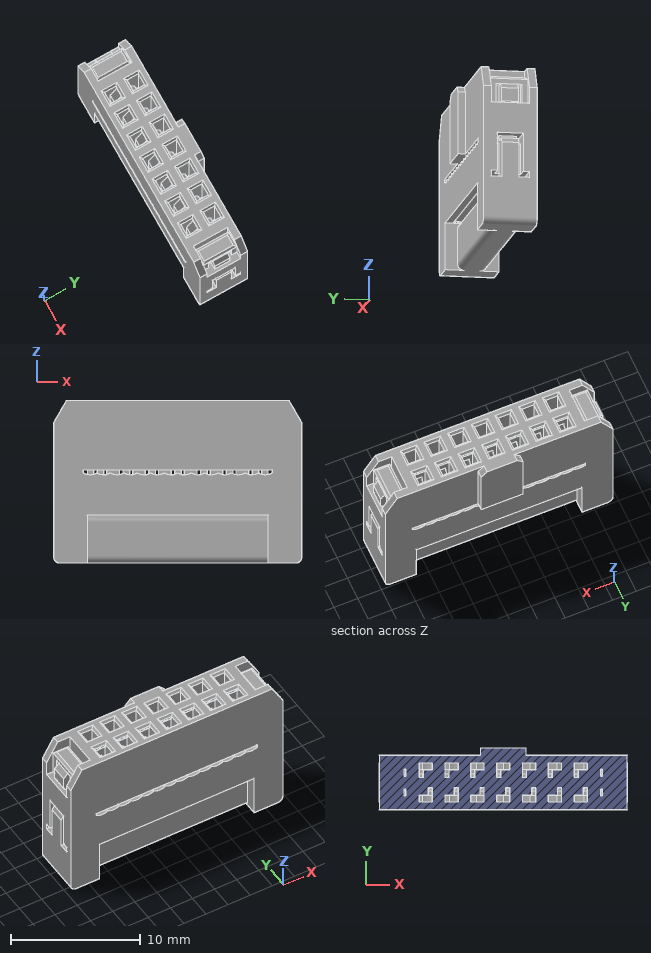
import cadquery as cq

LENGTH = 19.2
DEPTH = 4.22
HEIGHT = 12.6
HALF_LENGTH = LENGTH / 2
HALF_DEPTH = DEPTH / 2

TOP_CORNER_WIDTH = 1.0
TOP_CORNER_HEIGHT = 1.73
BOTTOM_CORNER_RADIUS = 0.5

KEY_WIDTH = 3.53
KEY_DEPTH = 0.58
KEY_BOTTOM = 7.2
KEY_CHAMFER = 0.5

COLUMNS = 7
PITCH = 2.0
CAVITY_SIZE = 1.0
LEAD_IN = 0.2
CAVITY_MOUTH = CAVITY_SIZE + 2 * LEAD_IN
ROW_Y = PITCH / 2
CAVITY_INNER_Y = ROW_Y - CAVITY_SIZE / 2
UNDERCUT_DEPTH = 0.1
UNDERCUT_TOP = 12.17

SPRING_OUTER_X = 0.21
SPRING_BOTTOM = 8.06
SPRING_LOW_EDGE = 10.18
SPRING_HIGH_EDGE = 11.33

SLOT_WIDTH = 14.6
SLOT_TOP = 7.2
SCALLOP_CUSP = 6.99
SCALLOP_FLOOR = 6.84
SCALLOP_PITCH = SLOT_WIDTH / (2 * COLUMNS)
BLADE_LEFT = -0.25
BLADE_RIGHT = 0.29

RELIEF_WIDTH = 13.98
RELIEF_TOP = 3.72
RELIEF_INSET = 0.96
RELIEF_RADIUS = 0.52
GAP_TOP = 4.19

LATCH_WIDTH = 3.0
WINDOW_WIDTH = 2.04
TONGUE_WIDTH = 1.35
POCKET_FLOOR = 9.6
POCKET_LENGTH = 2.11
BLOCK_OUTSET = 0.6
BLOCK_LENGTH = 1.35
BLOCK_TOP = 11.79
BLOCK_CHAMFER = 0.21
BLOCK_CHAMFER_HEIGHT = 0.17
WINDOW_TOP = 11.21
WINDOW_DEPTH = 0.58
SLIT_LENGTH = 0.12
SLIT_WIDTH = 0.52
HOOK_OUTSET = 0.23
HOOK_RAMP_BOTTOM = 10.8
HOOK_UNDERCUT = 0.15

LEG_DEPTH = 1.15
LEG_RAMP_BOTTOM = 6.45
LEG_RAMP_TOP = 6.82
LEG_RAMP_INSET = 0.2
GROOVE_FLOOR = 6.6


def box(x0, x1, y0, y1, z0, z1):
    """Box given by its limits along each axis."""
    return cq.Workplane("XY").box(x1 - x0, y1 - y0, z1 - z0, centered=False).translate((x0, y0, z0))


def both_ends(left_shape):
    """The left-end shape together with its mirror image at the right end."""
    return left_shape.union(left_shape.mirror("YZ"))


def extrude_across(points, width):
    """Extrude an X-Z outline along Y, centred on Y = 0."""
    return cq.Workplane("XZ").polyline(points).close().extrude(width / 2, both=True)


def frustum(length, width, bottom, height, inset):
    """Block that narrows by inset on every side from bottom to top."""
    return (
        cq.Workplane("XY", origin=(0, 0, bottom))
        .rect(length, width)
        .workplane(offset=height)
        .rect(length - 2 * inset, width - 2 * inset)
        .loft(ruled=True)
    )


def make_housing():
    shoulder = HEIGHT - TOP_CORNER_HEIGHT
    top_half = HALF_LENGTH - TOP_CORNER_WIDTH
    outline = [
        (-HALF_LENGTH, 0),
        (HALF_LENGTH, 0),
        (HALF_LENGTH, shoulder),
        (top_half, HEIGHT),
        (-top_half, HEIGHT),
        (-HALF_LENGTH, shoulder),
    ]
    housing = extrude_across(outline, DEPTH)
    return housing.edges("|Y and <Z").fillet(BOTTOM_CORNER_RADIUS)


def make_key():
    key = box(-KEY_WIDTH / 2, KEY_WIDTH / 2, HALF_DEPTH, HALF_DEPTH + KEY_DEPTH, KEY_BOTTOM, HEIGHT)
    return key.edges("|Y and >Z").chamfer(KEY_CHAMFER)


def make_cable_slot():
    """Slot through the full depth with one scallop in its floor per cable wire."""
    outline = (
        cq.Workplane("XZ")
        .moveTo(-SLOT_WIDTH / 2, SLOT_TOP)
        .lineTo(-SLOT_WIDTH / 2, SCALLOP_CUSP)
    )
    for wire in range(2 * COLUMNS):
        start = -SLOT_WIDTH / 2 + wire * SCALLOP_PITCH
        outline = outline.threePointArc(
            (start + SCALLOP_PITCH / 2, SCALLOP_FLOOR),
            (start + SCALLOP_PITCH, SCALLOP_CUSP),
        )
    return outline.lineTo(SLOT_WIDTH / 2, SLOT_TOP).close().extrude(HALF_DEPTH, both=True)


def make_slot_posts(column_x):
    """Posts at the column borders and the blade at its middle, standing in the cable slot."""
    half_cavity = CAVITY_SIZE / 2
    spans = [(-PITCH / 2, -half_cavity), (BLADE_LEFT, BLADE_RIGHT), (half_cavity, PITCH / 2)]
    posts = cq.Workplane("XY")
    for left, right in spans:
        posts = posts.union(
            box(column_x + left, column_x + right, -CAVITY_INNER_Y, CAVITY_INNER_Y, GROOVE_FLOOR, SLOT_TOP)
        )
    return posts


def make_cavity():
    """Back-row cavity at X = 0: an undercut square shaft with a tapered mouth, less its spring leaf."""
    half = CAVITY_SIZE / 2
    undercut_y = CAVITY_INNER_Y - UNDERCUT_DEPTH
    shaft = box(-half, half, CAVITY_INNER_Y, CAVITY_INNER_Y + CAVITY_SIZE, SLOT_TOP, HEIGHT)
    undercut = box(-half, half, undercut_y, CAVITY_INNER_Y, SLOT_TOP, UNDERCUT_TOP)
    mouth = frustum(CAVITY_MOUTH, CAVITY_MOUTH, 0, LEAD_IN, LEAD_IN)
    mouth = mouth.rotate((0, 0, 0), (1, 0, 0), 180).translate((0, ROW_Y, HEIGHT))
    spring_profile = [
        (undercut_y, SPRING_BOTTOM),
        (ROW_Y, SPRING_BOTTOM),
        (ROW_Y, SPRING_LOW_EDGE),
        (undercut_y, SPRING_HIGH_EDGE),
    ]
    spring = (
        cq.Workplane("YZ", origin=(-SPRING_OUTER_X, 0, 0))
        .polyline(spring_profile)
        .close()
        .extrude(half + SPRING_OUTER_X)
    )
    return shaft.union(undercut).union(mouth).cut(spring)


def make_relief_recess():
    """Material removed in front of the strain relief bar, whose front edges are rounded."""
    half = RELIEF_WIDTH / 2
    bar_front = -HALF_DEPTH + RELIEF_INSET
    bar = box(-half, half, bar_front, 0, 0, RELIEF_TOP)
    bar = bar.edges("|X and <Y").fillet(RELIEF_RADIUS)
    return box(-half, half, -HALF_DEPTH, bar_front + RELIEF_RADIUS, 0, RELIEF_TOP).cut(bar)


def make_latch_pocket():
    inner = -HALF_LENGTH + POCKET_LENGTH
    half = LATCH_WIDTH / 2
    return box(-HALF_LENGTH, inner, -half, half, POCKET_FLOOR, HEIGHT)


def make_latch_block():
    """Latch block with a tapered top, a window in its outer face and a hook in the window."""
    outer = -HALF_LENGTH + BLOCK_OUTSET
    inner = outer + BLOCK_LENGTH
    window_back = outer + WINDOW_DEPTH
    taper_start = BLOCK_TOP - BLOCK_CHAMFER_HEIGHT
    block = box(outer, inner, -LATCH_WIDTH / 2, LATCH_WIDTH / 2, POCKET_FLOOR, taper_start)
    taper = frustum(BLOCK_LENGTH, LATCH_WIDTH, taper_start, BLOCK_CHAMFER_HEIGHT, BLOCK_CHAMFER)
    block = block.union(taper.translate(((outer + inner) / 2, 0, 0)))
    half_window = WINDOW_WIDTH / 2
    block = block.cut(box(outer, window_back, -half_window, half_window, POCKET_FLOOR, WINDOW_TOP))
    hook_outer = -HALF_LENGTH + HOOK_OUTSET
    hook_outline = [
        (hook_outer + HOOK_UNDERCUT, POCKET_FLOOR),
        (window_back, POCKET_FLOOR),
        (window_back, WINDOW_TOP),
        (outer, WINDOW_TOP),
        (hook_outer, HOOK_RAMP_BOTTOM),
        (hook_outer, POCKET_FLOOR + HOOK_UNDERCUT),
    ]
    return block.union(extrude_across(hook_outline, TONGUE_WIDTH))


def make_pocket_slits():
    """Two slits behind the latch block, from the pocket floor down to the long grooves."""
    outer = -HALF_LENGTH + BLOCK_OUTSET + BLOCK_LENGTH
    far_side = WINDOW_WIDTH / 2
    slit = box(outer, outer + SLIT_LENGTH, far_side - SLIT_WIDTH, far_side, SLOT_TOP, POCKET_FLOOR)
    return slit.union(slit.mirror("XZ"))


def make_leg_window():
    """Window around the strain relief leg, which stays standing flush with the end."""
    back = -HALF_LENGTH + LEG_DEPTH
    window = box(-HALF_LENGTH, back, -WINDOW_WIDTH / 2, WINDOW_WIDTH / 2, RELIEF_TOP, SLOT_TOP)
    leg_outline = [
        (-HALF_LENGTH, RELIEF_TOP),
        (back, RELIEF_TOP),
        (back, LEG_RAMP_TOP),
        (-HALF_LENGTH + LEG_RAMP_INSET, LEG_RAMP_TOP),
        (-HALF_LENGTH, LEG_RAMP_BOTTOM),
    ]
    return window.cut(extrude_across(leg_outline, TONGUE_WIDTH))


def make_relief_gap():
    """Gap above the strain relief bar, open at both ends beside the legs."""
    half = LATCH_WIDTH / 2
    gap = box(-HALF_LENGTH, HALF_LENGTH, -half, half, RELIEF_TOP, GAP_TOP)
    leg = box(
        -HALF_LENGTH, -HALF_LENGTH + LEG_DEPTH, -TONGUE_WIDTH / 2, TONGUE_WIDTH / 2, RELIEF_TOP, GAP_TOP
    )
    return gap.cut(both_ends(leg))


def make_long_groove():
    """Groove along the full length below the back row of cavities."""
    return box(-HALF_LENGTH, HALF_LENGTH, TONGUE_WIDTH / 2, WINDOW_WIDTH / 2, GROOVE_FLOOR, SLOT_TOP)


result = make_housing().union(make_key())
result = result.cut(both_ends(make_latch_pocket()))
result = result.union(both_ends(make_latch_block()))
result = result.cut(both_ends(make_pocket_slits()))
result = result.cut(both_ends(make_leg_window()))

recess = make_relief_recess()
result = result.cut(make_relief_gap())
result = result.cut(recess).cut(recess.mirror("XZ"))

groove = make_long_groove()
result = result.cut(make_cable_slot())
result = result.cut(groove).cut(groove.mirror("XZ"))

cavity = make_cavity()
turned_cavity = cavity.rotate((0, 0, 0), (0, 0, 1), 180)
for column in range(COLUMNS):
    column_x = (column - (COLUMNS - 1) / 2) * PITCH
    result = result.union(make_slot_posts(column_x))
    result = result.cut(cavity.translate((column_x, 0, 0)))
    result = result.cut(turned_cavity.translate((column_x, 0, 0)))